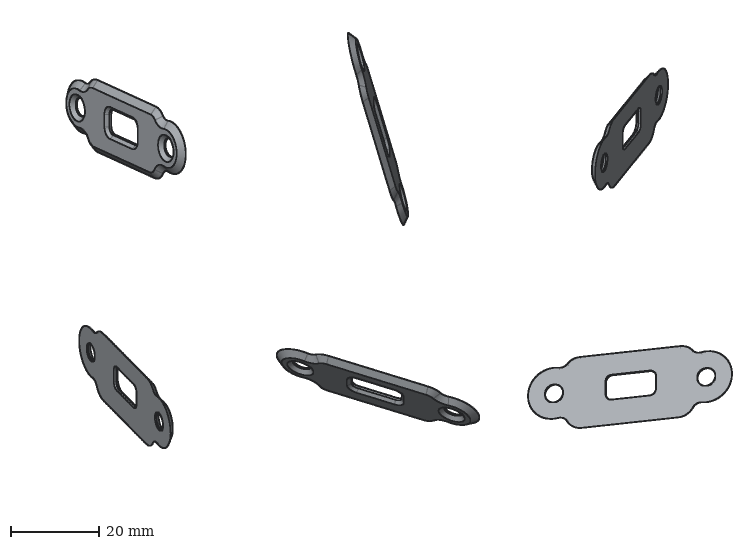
import math

import cadquery as cq

length = 48.55
height = 17.18
thickness = 1.4
bevel_angle = 50.0

screw_x = 18.1
lobe_radius = length / 2 - screw_x
body_drop = 0.5
top_edge = height / 2 - body_drop
bottom_edge = height / 2 + body_drop
shoulder_radius = 4.0
neck_radius = 2.0
top_shoulder_x = 11.9
bottom_shoulder_x = 11.5

screw_diameter = 4.3
countersink_diameter = 6.3
countersink_angle = 90.0

window_width = 12.0
window_height = 6.0
window_corner_radius = 1.5
window_chamfer = 0.8
window_x = -0.15

front_y = 0.0
back_y = front_y + thickness


def point_between(start, end, distance):
    """Point at a given distance from start on the way to end."""
    share = distance / math.dist(start, end)
    return (start[0] + share * (end[0] - start[0]), start[1] + share * (end[1] - start[1]))


def neck_centre(shoulder):
    """Centre of the neck arc that touches both the right-hand screw lobe and a shoulder arc."""
    to_lobe = lobe_radius + neck_radius
    to_shoulder = shoulder_radius + neck_radius
    run = shoulder[0] - screw_x
    rise = shoulder[1]
    span = math.hypot(run, rise)
    along = (to_lobe**2 - to_shoulder**2 + span**2) / (2 * span)
    across = math.sqrt(to_lobe**2 - along**2)
    return (
        screw_x + (along * run + across * rise) / span,
        (along * rise - across * run) / span,
    )


def arc_middle(centre, radius, start, end):
    """Middle point of the shorter arc from start to end."""
    chord_middle = ((start[0] + end[0]) / 2, (start[1] + end[1]) / 2)
    return point_between(centre, chord_middle, radius)


def shoulder_arcs(shoulder_x, edge):
    """Arc points from a straight edge above the screw line to the right-hand lobe."""
    lobe = (screw_x, 0.0)
    shoulder = (shoulder_x, edge - shoulder_radius)
    neck = neck_centre(shoulder)
    edge_end = (shoulder_x, edge)
    shoulder_end = point_between(shoulder, neck, shoulder_radius)
    neck_end = point_between(neck, lobe, neck_radius)
    shoulder_middle = arc_middle(shoulder, shoulder_radius, edge_end, shoulder_end)
    neck_middle = arc_middle(neck, neck_radius, shoulder_end, neck_end)
    return [edge_end, shoulder_middle, shoulder_end, neck_middle, neck_end]


def mirrored(points, x_sign, z_sign):
    return [(x_sign * x, z_sign * z) for x, z in points]


def bevelled_plate():
    top_right = shoulder_arcs(top_shoulder_x, top_edge)
    bottom_flipped = shoulder_arcs(bottom_shoulder_x, bottom_edge)
    top_left = mirrored(top_right, -1, 1)
    bottom_right = mirrored(bottom_flipped, 1, -1)
    bottom_left = mirrored(bottom_flipped, -1, -1)

    outline = cq.Workplane("XZ", origin=(0, back_y, 0))
    outline = outline.moveTo(*top_left[0]).lineTo(*top_right[0])
    outline = outline.threePointArc(top_right[1], top_right[2])
    outline = outline.threePointArc(top_right[3], top_right[4])
    outline = outline.threePointArc((length / 2, 0), bottom_right[4])
    outline = outline.threePointArc(bottom_right[3], bottom_right[2])
    outline = outline.threePointArc(bottom_right[1], bottom_right[0])
    outline = outline.lineTo(*bottom_left[0])
    outline = outline.threePointArc(bottom_left[1], bottom_left[2])
    outline = outline.threePointArc(bottom_left[3], bottom_left[4])
    outline = outline.threePointArc((-length / 2, 0), top_left[4])
    outline = outline.threePointArc(top_left[3], top_left[2])
    outline = outline.threePointArc(top_left[1], top_left[0])
    return outline.close().extrude(thickness, taper=bevel_angle)


def cut_screw_holes(body):
    return (
        body.copyWorkplane(cq.Workplane("XZ", origin=(0, front_y, 0)))
        .pushPoints([(-screw_x, 0), (screw_x, 0)])
        .cskHole(screw_diameter, countersink_diameter, countersink_angle)
    )


def cut_window(body):
    opening = (
        cq.Workplane("XZ", origin=(window_x, back_y, 0))
        .rect(window_width, window_height)
        .extrude(thickness)
        .edges("|Y")
        .fillet(window_corner_radius)
    )
    opened = body.cut(opening)
    around_window = cq.selectors.BoxSelector(
        (window_x - window_width, front_y - thickness / 2, -window_height),
        (window_x + window_width, front_y + thickness / 2, window_height),
    )
    rim = opened.faces("<Y").edges(around_window)
    return rim.chamfer(window_chamfer)


result = cut_window(cut_screw_holes(bevelled_plate()))